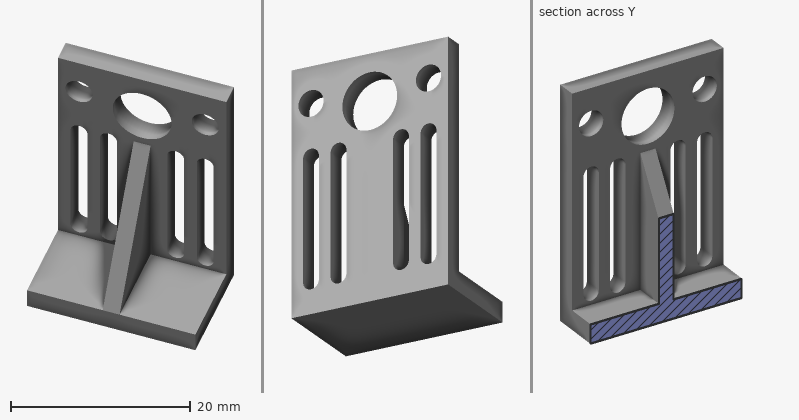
import cadquery as cq
import math

width = 20.0
depth = 12.5
height = 30.0
wall = 2.5

rib_width = 2.0
rib_angle = 60.0

bore_diameter = 7.0
bore_z = 24.25
bolt_diameter = 3.2
bolt_z = 25.5
outer_offset = 7.5
inner_offset = 4.0
slot_width = 2.0
slot_bottom = 3.0
slot_top = 20.0

plate_front = depth - wall


def plate_sketch():
    """Workplane on the back of the plate, with X to the right and Z up."""
    return cq.Workplane("XZ", origin=(0, depth, 0))


def make_bracket():
    """L-shaped body: a base with an upright plate at its back edge."""
    profile = [
        (0, 0),
        (depth, 0),
        (depth, height),
        (plate_front, height),
        (plate_front, wall),
        (0, wall),
    ]
    return cq.Workplane("YZ").polyline(profile).close().extrude(width / 2, both=True)


def make_rib():
    """Triangular gusset from the front edge of the base up to the plate."""
    rib_top = wall + plate_front * math.tan(math.radians(rib_angle))
    profile = [(0, wall), (plate_front, wall), (plate_front, rib_top)]
    return cq.Workplane("YZ").polyline(profile).close().extrude(rib_width / 2, both=True)


def make_holes():
    """Central bore and the two bolt holes beside it."""
    bore = plate_sketch().center(0, bore_z).circle(bore_diameter / 2).extrude(wall)
    bolt_centres = [(-outer_offset, bolt_z), (outer_offset, bolt_z)]
    bolts = plate_sketch().pushPoints(bolt_centres).circle(bolt_diameter / 2).extrude(wall)
    return bore.union(bolts)


def make_slots():
    """Two vertical round-ended slots on each side of the rib."""
    slot_z = (slot_bottom + slot_top) / 2
    offsets = [-outer_offset, -inner_offset, inner_offset, outer_offset]
    return (
        plate_sketch()
        .pushPoints([(x, slot_z) for x in offsets])
        .slot2D(slot_top - slot_bottom, slot_width, 90)
        .extrude(wall)
    )


result = make_bracket().union(make_rib()).cut(make_holes()).cut(make_slots())